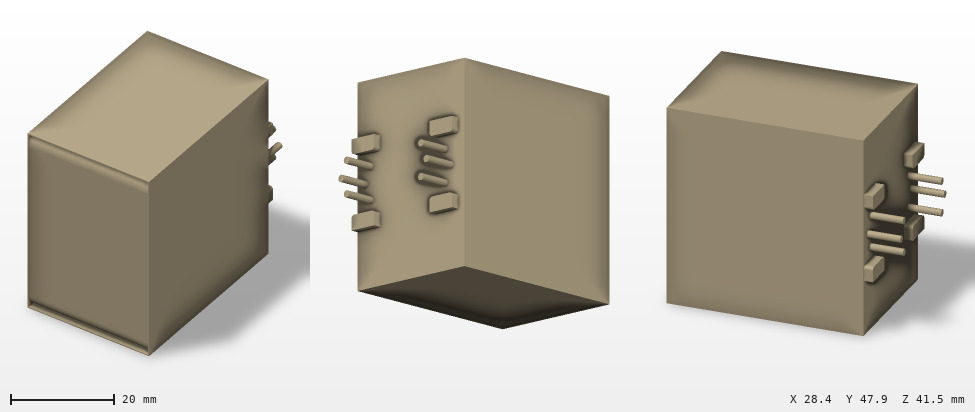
import cadquery as cq

housing_width = 28.35
housing_height = 41.5
housing_depth = 40.9
wall = 0.25

core_fillet = 2.8

base_thickness = 1.9
terminal_center_x = 0.6
foot_length = 1.85
foot_width = 6.0
foot_height = 3.05
foot_fillet = 0.65
foot_spacing_x = 20.65
foot_spacing_z = 15.15
pin_diameter = 1.45
pin_tip_y = 47.9
pin_pitch_z = 3.35
outer_pin_spacing_x = 22.55
inner_pin_spacing_x = 19.7

cavity_width = housing_width - 2 * wall
cavity_height = housing_height - 2 * wall
core_width = cavity_width / 2
core_depth = housing_depth - base_thickness


def box_along_y(width, depth, height, center_x, front_y, center_z):
    """Box centred in X and Z that runs from front_y toward +Y."""
    box = cq.Workplane("XY").box(width, depth, height, centered=(True, False, True))
    return box.translate((center_x, front_y, center_z))


def make_housing():
    outside = box_along_y(housing_width, housing_depth, housing_height, 0, 0, 0)
    cavity = box_along_y(cavity_width, housing_depth, cavity_height, 0, 0, 0)
    return outside.cut(cavity)


def make_core_half(side):
    """Core half on the -X (side = -1) or +X (side = 1) half of the cavity."""
    block = box_along_y(core_width, core_depth, cavity_height, side * core_width / 2, 0, 0)
    return block.faces("<Y").edges("|X").fillet(core_fillet)


def make_foot(side_x, side_z):
    """Foot block whose two edges nearest the pins are rounded."""
    center_x = terminal_center_x + side_x * foot_spacing_x / 2
    center_z = side_z * foot_spacing_z / 2
    foot = box_along_y(foot_width, foot_length, foot_height, center_x, housing_depth, center_z)
    inner_face = "<Z" if side_z > 0 else ">Z"
    return foot.faces(inner_face).edges("|Y").fillet(foot_fillet)


def make_pin(side_x, row):
    """Pin in row -1, 0 or 1 along Z; the middle row stands farther out in X."""
    spacing_x = outer_pin_spacing_x if row == 0 else inner_pin_spacing_x
    center_x = terminal_center_x + side_x * spacing_x / 2
    pin_length = pin_tip_y - housing_depth
    pin = cq.Solid.makeCylinder(
        pin_diameter / 2,
        pin_length,
        cq.Vector(center_x, housing_depth, row * pin_pitch_z),
        cq.Vector(0, 1, 0),
    )
    return cq.Workplane(pin)


def make_terminal_base():
    base = box_along_y(cavity_width, base_thickness, cavity_height, 0, core_depth, 0)
    for side_x in (-1, 1):
        for side_z in (-1, 1):
            base = base.union(make_foot(side_x, side_z))
        for row in (-1, 0, 1):
            base = base.union(make_pin(side_x, row))
    return base


housing = make_housing()
core_halves = [make_core_half(side) for side in (-1, 1)]
terminal_base = make_terminal_base()

result = cq.Compound.makeCompound(
    [housing.val(), *[half.val() for half in core_halves], terminal_base.val()]
)